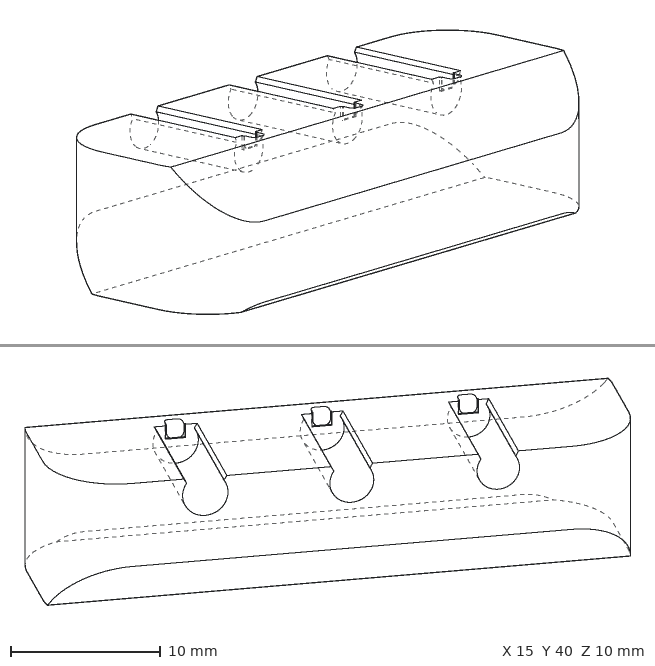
import cadquery as cq
import math

width = 15.0
length = 40.0
height = 10.0
corner_radius = 5.0
edge_bevel = 4.0
small_bevel = 0.4

middle_groove_diameter = 3.0
diameter_step = 0.1
groove_pitch = length / 4
groove_length = 9.25
groove_axis_depth = 1.2
waist_ratio = 0.82
mouth_inset = 0.1

relief_length = 1.05
relief_depth = 0.95
entry_length = 0.15
entry_width = 1.35
ramp_width = 1.2
ramp_corner_radius = 0.3

x_min = -width / 2
x_max = width / 2
groove_end = x_min + groove_length


def make_block():
    """Rounded block trimmed to a beveled profile along its length."""
    rounded = (
        cq.Workplane("XY")
        .rect(width, length)
        .extrude(height)
        .edges("|Z")
        .fillet(corner_radius)
    )
    profile = (
        cq.Workplane("XZ")
        .polyline([
            (x_min, edge_bevel),
            (x_min + edge_bevel, 0),
            (x_max - small_bevel, 0),
            (x_max, small_bevel),
            (x_max, height - edge_bevel),
            (x_max - edge_bevel, height),
            (x_min, height),
        ])
        .close()
        .extrude(length / 2, both=True)
    )
    return rounded.intersect(profile)


def make_groove(diameter, y):
    """Round seat that narrows to a waist and flares out to the top face."""
    radius = diameter / 2
    axis_z = height - groove_axis_depth
    half_waist = waist_ratio * radius
    waist_z = axis_z + math.sqrt(radius**2 - half_waist**2)
    half_mouth = radius - mouth_inset
    return (
        cq.Workplane("YZ", origin=(x_min, y, 0))
        .moveTo(-half_mouth, height)
        .lineTo(-half_waist, waist_z)
        .threePointArc((0, axis_z - radius), (half_waist, waist_z))
        .lineTo(half_mouth, height)
        .close()
        .extrude(groove_length)
    )


def make_relief(y):
    """Short square entry, then a round-cornered floor ramping up to the top face."""
    entry = (
        cq.Workplane("XY", origin=(groove_end, y, height))
        .box(entry_length, entry_width, relief_depth, centered=(False, True, False))
        .translate((0, 0, -relief_depth))
    )
    ramp = (
        cq.Workplane("XZ", origin=(groove_end + entry_length, y, height))
        .polyline([(0, 0), (0, -relief_depth), (relief_length - entry_length, 0)])
        .close()
        .extrude(ramp_width / 2, both=True)
        .edges("not(|X or |Y or |Z)")
        .fillet(ramp_corner_radius)
    )
    return entry.union(ramp)


result = make_block()
for step in (-1, 0, 1):
    diameter = middle_groove_diameter + step * diameter_step
    y = step * groove_pitch
    result = result.cut(make_groove(diameter, y)).cut(make_relief(y))